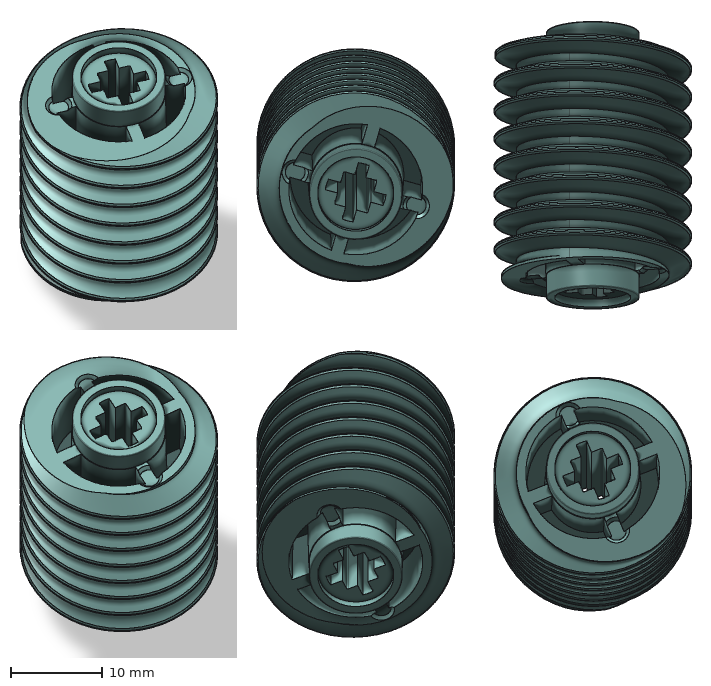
import cadquery as cq
import math

total_height = 30.0
body_height = 25.02
half_body = body_height / 2

outer_radius = 10.85
root_radius = 8.4
pitch = 3.15
flank_angle = 20.0
tip_width = 0.48
tip_rounding = 0.15
sleeve_bore = 8.355
joint_tolerance = 0.003
root_overlap = 0.03
crest_phase = 0.75
run_out_lip = 0.33
blank_radius = outer_radius + 0.3

hub_radius = 5.1
hub_edge_rounding = 0.1
recess_radius = 4.17
recess_depth = 0.9
axle_arm_width = 1.23
axle_tip_radius = 3.33
axle_core_width = 3.78
axle_core_rounding = 0.15

pocket_radius = 7.35
pocket_depth = 7.5
pocket_draft = 1.0
hub_foot_radius = 5.15
web_width = 1.45

dimple_place = 6.9
dimple_radius = 1.45
dimple_floor_radius = 1.08
dimple_depth = 0.35


def centred_cylinder(radius, height):
    return cq.Workplane("XY", origin=(0, 0, -height / 2)).circle(radius).extrude(height)


def make_tooth():
    """Sweep one thread profile along a helix that runs past both end faces."""
    turns = 2 * math.ceil(half_body / pitch + 1)
    length = turns * pitch
    start = -length / 2
    slope = math.tan(math.radians(flank_angle))
    inner = root_radius - root_overlap
    inner_half = tip_width / 2 + (outer_radius - inner) * slope
    profile = (
        cq.Workplane("XZ")
        .polyline([
            (inner, -inner_half),
            (outer_radius - tip_rounding, -tip_width / 2 - tip_rounding * slope),
            (outer_radius, -tip_width / 2 + tip_rounding),
            (outer_radius, tip_width / 2 - tip_rounding),
            (outer_radius - tip_rounding, tip_width / 2 + tip_rounding * slope),
            (inner, inner_half),
        ])
        .close()
        .translate((0, 0, start))
    )
    helix = cq.Wire.makeHelix(pitch, length, root_radius, cq.Vector(0, 0, start), lefthand=True)
    tooth = profile.sweep(cq.Workplane(obj=helix), isFrenet=True)
    return tooth.translate((0, 0, crest_phase * pitch))


def make_sleeve():
    """Threaded sleeve; each thread end is trimmed to an upright lip instead of a feather edge."""
    tooth = make_tooth()
    lip_level = half_body - run_out_lip
    middle_blank = centred_cylinder(blank_radius, 2 * lip_level)
    tooth_ends = tooth.intersect(centred_cylinder(blank_radius, body_height).cut(middle_blank))
    thread = tooth.intersect(middle_blank)
    root_cylinder = centred_cylinder(root_radius, body_height)
    sleeve = root_cylinder.cut(centred_cylinder(sleeve_bore, body_height)).union(thread, clean=False)
    for side, end_face in ((1, ">Z"), (-1, "<Z")):
        section = thread.faces(end_face).val()
        column = cq.Solid.extrudeLinear(section, cq.Vector(0, 0, side * run_out_lip))
        lip = tooth_ends.intersect(cq.Workplane(obj=column)).cut(root_cylinder)
        sleeve = sleeve.union(lip, clean=False)
    return sleeve


def make_hub():
    hub = centred_cylinder(hub_radius, total_height)
    return hub.faces("<Z or >Z").edges().fillet(hub_edge_rounding)


def make_pocket():
    """Pocket at the top end: a tapered ring around the hub, divided by four tapered webs."""
    widening = pocket_depth * math.tan(math.radians(pocket_draft))
    ring = (
        cq.Workplane("XZ")
        .polyline([
            (hub_foot_radius, half_body),
            (pocket_radius, half_body),
            (pocket_radius - widening, half_body - pocket_depth),
            (hub_foot_radius + widening, half_body - pocket_depth),
        ])
        .close()
        .revolve(360, (0, 0, 0), (0, 1, 0))
    )
    web = (
        cq.Workplane("XZ")
        .polyline([
            (-web_width / 2, half_body),
            (web_width / 2, half_body),
            (web_width / 2 + widening, half_body - pocket_depth),
            (-web_width / 2 - widening, half_body - pocket_depth),
        ])
        .close()
        .extrude(root_radius, both=True)
    )
    return ring.cut(web).cut(web.rotate((0, 0, 0), (0, 0, 1), 90))


def make_dimple(y_place):
    """Conical dimple in the top end face, over a web along Y."""
    cone = cq.Solid.makeCone(
        dimple_floor_radius,
        dimple_radius,
        dimple_depth,
        pnt=cq.Vector(0, y_place, half_body - dimple_depth),
    )
    return cq.Workplane(obj=cone).cut(centred_cylinder(hub_foot_radius, total_height))


def make_axle_hole():
    """Cross-shaped through hole with a square core and arms ending on a circle."""
    arm_length = 2 * axle_tip_radius
    core = cq.Workplane("XY").rect(axle_core_width, axle_core_width).extrude(total_height / 2, both=True)
    arms = (
        cq.Workplane("XY")
        .rect(arm_length, axle_arm_width)
        .extrude(total_height / 2, both=True)
        .union(cq.Workplane("XY").rect(axle_arm_width, arm_length).extrude(total_height / 2, both=True))
        .intersect(centred_cylinder(axle_tip_radius, total_height))
    )
    return core.edges("|Z").fillet(axle_core_rounding).union(arms)


def make_recess():
    """Round recess in the top end of the hub."""
    floor = cq.Workplane("XY", origin=(0, 0, total_height / 2 - recess_depth))
    return floor.circle(recess_radius).extrude(recess_depth)


def cut_both_ends(body, top_cutter):
    """Cut a shape from the top end and its half-turn copy about Y from the bottom end."""
    return body.cut(top_cutter).cut(top_cutter.rotate((0, 0, 0), (0, 1, 0), 180))


def faces_off_joint(body):
    """Faces of a body except those lying on the cylinder where sleeve and core meet."""
    joint = [
        face for face in body.faces("%CYLINDER").vals()
        if abs(face.BoundingBox().xlen / 2 - sleeve_bore) < joint_tolerance
    ]
    return [face for face in body.faces().vals() if not any(face.isSame(other) for other in joint)]


inner_core = centred_cylinder(sleeve_bore, body_height).union(make_hub()).cut(make_axle_hole())
inner_core = cut_both_ends(inner_core, make_recess())
inner_core = cut_both_ends(inner_core, make_pocket())
for dimple_side in (1, -1):
    inner_core = cut_both_ends(inner_core, make_dimple(dimple_side * dimple_place))

skin = cq.Shell.makeShell(faces_off_joint(make_sleeve()) + faces_off_joint(inner_core))
result = cq.Workplane(obj=cq.Solid.makeSolid(skin)).clean()